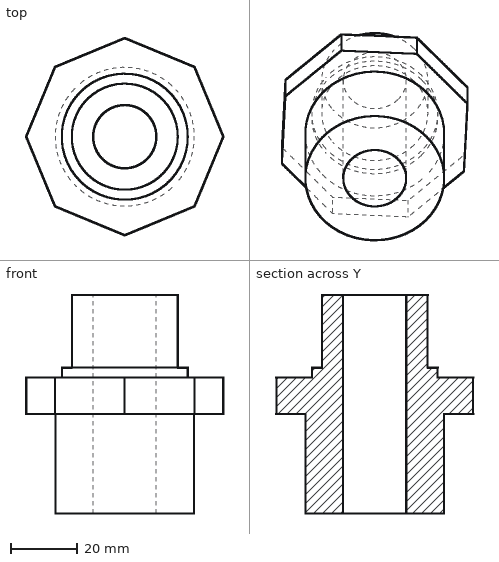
import cadquery as cq

total_height = 66.0
socket_diameter = 41.9
socket_height = 30.0
nut_sides = 8
nut_across_corners = 59.5
nut_height = 11.0
collar_diameter = 38.0
collar_height = 3.0
spigot_diameter = 32.0
bore_diameter = 19.0

spigot_height = total_height - socket_height - nut_height - collar_height

body = cq.Workplane("XY").circle(socket_diameter / 2).extrude(socket_height)

body = body.faces(">Z").workplane().polygon(nut_sides, nut_across_corners).extrude(nut_height)

body = body.faces(">Z").workplane().circle(collar_diameter / 2).extrude(collar_height)
body = body.faces(">Z").workplane().circle(spigot_diameter / 2).extrude(spigot_height)

result = body.faces(">Z").workplane().hole(bore_diameter)